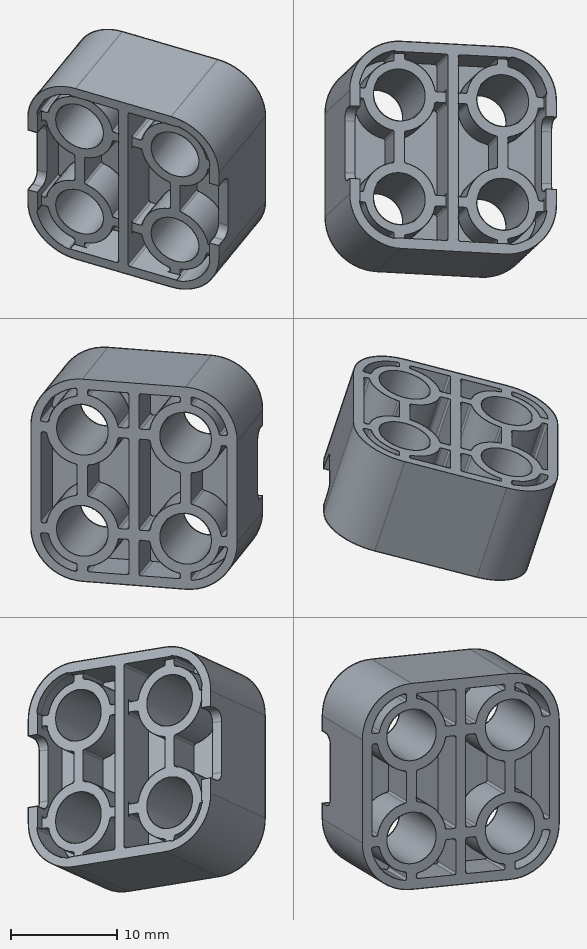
import cadquery as cq
import math

side = 20.0
depth = 10.0
corner_radius = 5.0
wall = 1.0
web = 1.0

bore_diameter = 5.0
tube_radius = 3.5
rib = 1.0
rim_recess = 0.85

corner_wall = 0.88
corner_cell_width = 0.8
cell_fillet = 0.22

notch_length = 7.0
notch_depth = 2.0
notch_radius = 1.0

front_y = -depth / 2
cell_depth = (depth - web) / 2
inside = side - 2 * wall
bay_width = (inside - wall) / 2
bay_offset = (wall + bay_width) / 2
corner_cell_radius = corner_radius - corner_wall
tube_offset = side / 2 - corner_radius
signs = (-1, 1)
tube_centers = [(x * tube_offset, z * tube_offset) for x in signs for z in signs]


def front_box(width, height, length, x=0, z=0):
    """Box centred at (x, z) that runs back from the front face."""
    box = cq.Workplane("XY").box(width, length, height)
    return box.translate((x, front_y + length / 2, z))


def front_cylinder(radius, length, x, z):
    """Cylinder along Y that runs back from the front face."""
    cylinder = cq.Workplane("XZ").circle(radius).extrude(-length)
    return cylinder.translate((x, front_y, z))


def rounded_block(inset, length):
    """Outer block shrunk by an inset, running back from the front face."""
    width = side - 2 * inset
    block = front_box(width, width, length)
    return block.edges("|Y").fillet(corner_radius - inset)


def bays(length):
    """Two bays on either side of the central wall, rounded to suit the block corners."""
    left_bay = front_box(bay_width, inside, length, -bay_offset)
    right_bay = front_box(bay_width, inside, length, bay_offset)
    left_bay = left_bay.edges("|Y and >X").fillet(cell_fillet)
    right_bay = right_bay.edges("|Y and <X").fillet(cell_fillet)
    return left_bay.union(right_bay).intersect(rounded_block(corner_wall, length))


def corner_square(x, z):
    """Square block over the outer corner of the tube at (x, z)."""
    return front_box(
        corner_radius,
        corner_radius,
        cell_depth,
        x + math.copysign(corner_radius / 2, x),
        z + math.copysign(corner_radius / 2, z),
    )


def corner_cell(x, z):
    """Ring-shaped pocket that thins both the wall and the tube at one rounded corner."""
    outer = front_cylinder(corner_cell_radius, cell_depth, x, z)
    inner = front_cylinder(corner_cell_radius - corner_cell_width, cell_depth, x, z)
    return outer.cut(inner).intersect(corner_square(x, z))


def cells():
    """Hollow cells left free by the tubes and the ribs, in front of the web."""
    hollow = front_box(bay_width, inside, cell_depth, -bay_offset)
    hollow = hollow.union(front_box(bay_width, inside, cell_depth, bay_offset))
    for x, z in tube_centers:
        hollow = hollow.cut(front_cylinder(tube_radius, cell_depth, x, z))
        hollow = hollow.cut(corner_square(x, z))
        hollow = hollow.union(corner_cell(x, z))
    for offset in (-tube_offset, tube_offset):
        hollow = hollow.cut(front_box(rib, side, cell_depth, x=offset))
        hollow = hollow.cut(front_box(side, rib, cell_depth, z=offset))
    return hollow.edges("|Y").fillet(cell_fillet)


def notches():
    """Cutter for the rounded notches, confined to the two X walls."""
    cutter = front_box(side, notch_length, notch_depth)
    cutter = cutter.edges("|X and >Y").fillet(notch_radius)
    return cutter.cut(front_box(inside, side, depth))


front_cells = cells()
back_cells = front_cells.mirror("XZ")

result = rounded_block(0, depth)
result = result.cut(front_cells).cut(back_cells)
result = result.cut(bays(rim_recess)).cut(notches())
for x, z in tube_centers:
    result = result.cut(front_cylinder(bore_diameter / 2, depth, x, z))